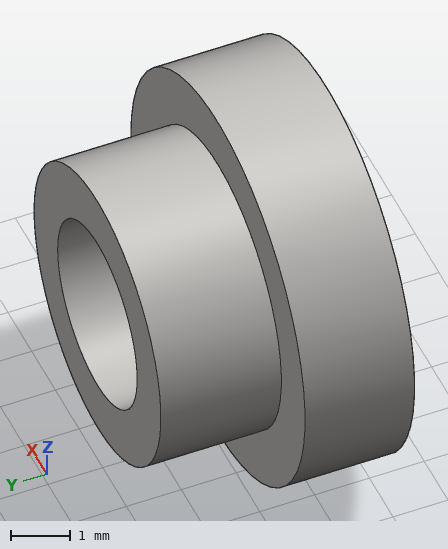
import cadquery as cq

flange_diameter = 7.35
sleeve_diameter = 5.35
bore_diameter = 3.35
total_length = 4.2
flange_thickness = 2.0


def cylinder_along_y(diameter, length):
    """Cylinder from the flange face (Y = 0) towards +Y."""
    return cq.Workplane("XZ").circle(diameter / 2).extrude(-length)


flange = cylinder_along_y(flange_diameter, flange_thickness)
sleeve = cylinder_along_y(sleeve_diameter, total_length)
bore = cylinder_along_y(bore_diameter, total_length)

result = flange.union(sleeve).cut(bore)